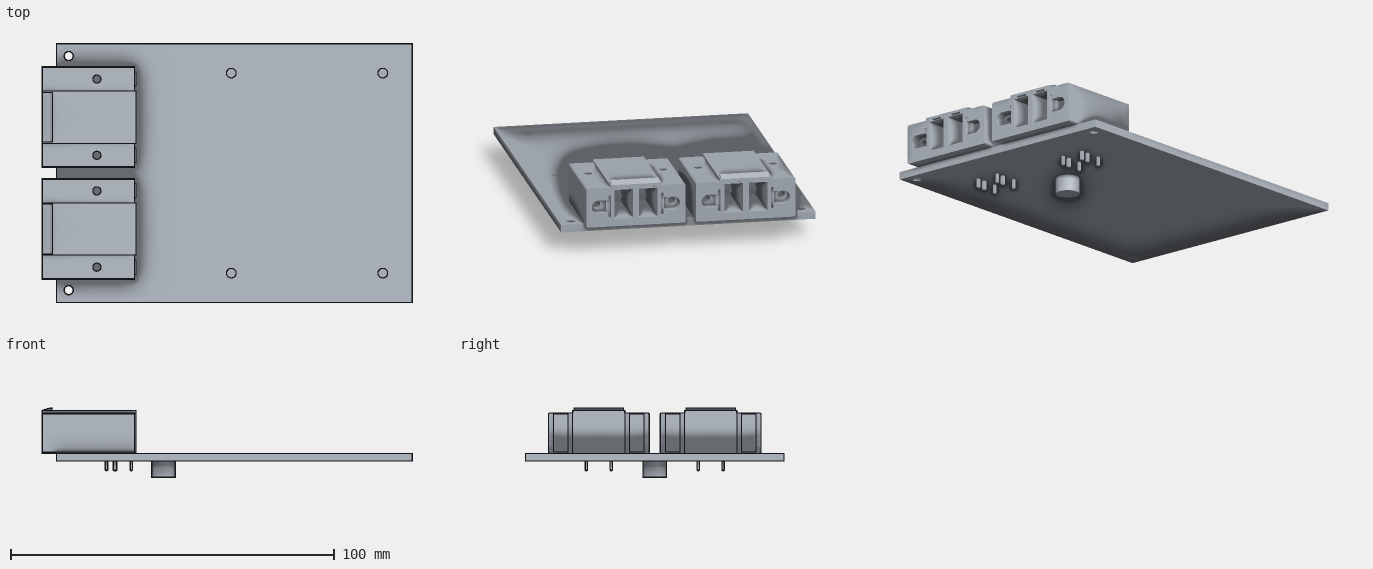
import cadquery as cq


board_length = 110.0
board_width = 80.0
board_thickness = 2.4
corner_hole_diameter = 2.7
corner_hole_inset_x = 3.8
corner_hole_y = 36.2
spot_diameter = 3.0
spot_depth = 0.1
spot_x_positions = (54.0, 100.8)
spot_y = 30.9

stud_diameter = 7.3
stud_length = 5.0
stud_x = 33.1

total_length = 114.4
housing_front_x = board_length - total_length
housing_pitch = 34.5
housing_length = 28.6
housing_width = 31.2
housing_height = 12.5
edge_chamfer = 0.3
panel_width = 16.1
panel_rise = 0.8
rear_step = 0.5
rear_tab_width = 4.5

catch_width = 15.3
catch_rise = 0.8
catch_crest_start = 2.7
catch_crest_end = 3.2

window_pitch = 7.7
window_width = 5.8
window_height = 9.3
window_bottom = 2.4
window_depth = 16.0
window_taper = 0.7
keyway_width = 3.9
keyway_height = 0.8
keyway_depth = 1.1
contact_width = 3.0
contact_height = 1.0
contact_length = 5.7
contact_z = 6.4

screw_y = 11.8
screw_z = 6.4
pocket_diameter = 4.2
pocket_depth = 3.2
pocket_step_y = 9.2
slot_inner_y = 7.9
slot_outer_y = 8.7
slot_height = 7.1
slot_depth = 1.7
pilot_diameter = 2.3
pilot_depth = 5.7
top_hole_diameter = 2.5
top_hole_depth = 3.4
top_hole_x = 16.9

pin_rows = ((19.9, 0.8), (22.5, 1.1), (27.6, 0.8))
pin_width = 0.8
pin_length = 3.1
pin_tip_chamfer = 0.3

SIDES = (-1, 1)


def block(x_start, x_end, y_start, y_end, z_start, z_end):
    """Box given by its limits along each axis."""
    size = (x_end - x_start, y_end - y_start, z_end - z_start)
    return cq.Workplane("XY").box(*size, centered=False).translate((x_start, y_start, z_start))


def rod_along_x(diameter, x_start, length, y, z):
    """Round rod running from x_start toward +X."""
    return cq.Workplane("YZ", origin=(x_start, y, z)).circle(diameter / 2).extrude(length)


def make_board():
    board = block(0, board_length, -board_width / 2, board_width / 2, -board_thickness, 0)
    corner_points = [(corner_hole_inset_x, side * corner_hole_y) for side in SIDES]
    corner_holes = (
        cq.Workplane("XY").pushPoints(corner_points).circle(corner_hole_diameter / 2)
        .extrude(-board_thickness)
    )
    spot_points = [(x, side * spot_y) for x in spot_x_positions for side in SIDES]
    spots = cq.Workplane("XY").pushPoints(spot_points).circle(spot_diameter / 2).extrude(-spot_depth)
    return board.cut(corner_holes).cut(spots)




def make_housing_shell():
    """Outer block with the raised panel and the rear steps."""
    half_width = housing_width / 2
    shell = block(0, housing_length, -half_width, half_width, 0, housing_height)
    shell = shell.edges("|X").chamfer(edge_chamfer)
    rear_x = housing_length + rear_step
    panel_top = housing_height + panel_rise
    shell = shell.union(block(0, rear_x, -panel_width / 2, panel_width / 2, 0, panel_top))
    for side in SIDES:
        tab_start = side * screw_y - rear_tab_width / 2
        tab = block(
            housing_length, rear_x, tab_start, tab_start + rear_tab_width,
            edge_chamfer, housing_height - edge_chamfer,
        )
        shell = shell.union(tab)
    return shell


def make_catch():
    """Sloped ridge that leans back over the panel."""
    base_z = housing_height + panel_rise
    crest_z = base_z + catch_rise
    return (
        cq.Workplane("XZ", origin=(0, catch_width / 2, 0))
        .moveTo(0, base_z)
        .lineTo(catch_crest_start, crest_z)
        .lineTo(catch_crest_end, crest_z)
        .lineTo(catch_crest_start, base_z)
        .close()
        .extrude(catch_width)
    )


def make_window(y):
    """Cavity of one plug window: tapered pocket and keyway, less the contact blade."""
    pocket = (
        cq.Workplane("YZ", origin=(0, y, window_bottom + window_height / 2))
        .rect(window_width, window_height)
        .workplane(offset=window_depth)
        .rect(window_width - 2 * window_taper, window_height - 2 * window_taper)
        .loft(ruled=True)
    )
    window_top = window_bottom + window_height
    keyway = block(
        0, keyway_depth, y - keyway_width / 2, y + keyway_width / 2,
        window_top, window_top + keyway_height,
    )
    contact = block(
        window_depth - contact_length, window_depth, y - contact_width / 2, y + contact_width / 2,
        contact_z - contact_height / 2, contact_z + contact_height / 2,
    )
    return pocket.union(keyway).cut(contact)


def make_screw_pocket():
    """Cavity on the +Y side: round-ended pocket, shallow cross slot, pilot hole and top hole."""
    radius = pocket_diameter / 2
    low_z = screw_z - radius
    high_z = screw_z + radius
    round_end = rod_along_x(pocket_diameter, 0, pocket_depth, screw_y, screw_z)
    channel = block(0, pocket_depth, pocket_step_y, screw_y, low_z, high_z)
    shallow_end = block(0, slot_depth, slot_inner_y, pocket_step_y, low_z, high_z)
    cross_slot = block(
        0, slot_depth, slot_inner_y, slot_outer_y,
        screw_z - slot_height / 2, screw_z + slot_height / 2,
    )
    pilot = rod_along_x(pilot_diameter, pocket_depth, pilot_depth, screw_y, screw_z)
    top_hole = (
        cq.Workplane("XY", origin=(top_hole_x, screw_y, housing_height))
        .circle(top_hole_diameter / 2)
        .extrude(-top_hole_depth)
    )
    return round_end.union(channel).union(shallow_end).union(cross_slot).union(pilot).union(top_hole)


def make_pin(x, y, size_x):
    """Pin from the board's underside, with a tapered tip."""
    top_z = -board_thickness
    pin = block(
        x - size_x / 2, x + size_x / 2, y - pin_width / 2, y + pin_width / 2,
        top_z - pin_length, top_z,
    )
    return pin.faces("<Z").chamfer(pin_tip_chamfer)


def make_housing():
    housing = make_housing_shell().union(make_catch())
    screw_pocket = make_screw_pocket()
    housing = housing.cut(screw_pocket).cut(screw_pocket.mirror("XZ"))
    for side in SIDES:
        housing = housing.cut(make_window(side * window_pitch / 2))
    return housing


def make_board_assembly():
    """Board in one piece with both connector housings and their pins."""
    assembly = make_board()
    housing = make_housing()
    for housing_side in SIDES:
        housing_y = housing_side * housing_pitch / 2
        assembly = assembly.union(housing.translate((housing_front_x, housing_y, 0)))
        for window_side in SIDES:
            pin_y = housing_y + window_side * window_pitch / 2
            for distance, size_x in pin_rows:
                assembly = assembly.union(make_pin(housing_front_x + distance, pin_y, size_x))
    return assembly


def make_stud():
    """Round stud that touches the board's underside."""
    return (
        cq.Workplane("XY", origin=(stud_x, 0, -board_thickness))
        .circle(stud_diameter / 2)
        .extrude(-stud_length)
    )


board_assembly = make_board_assembly()
stud = make_stud()
result = cq.Compound.makeCompound([*board_assembly.solids().vals(), stud.val()])